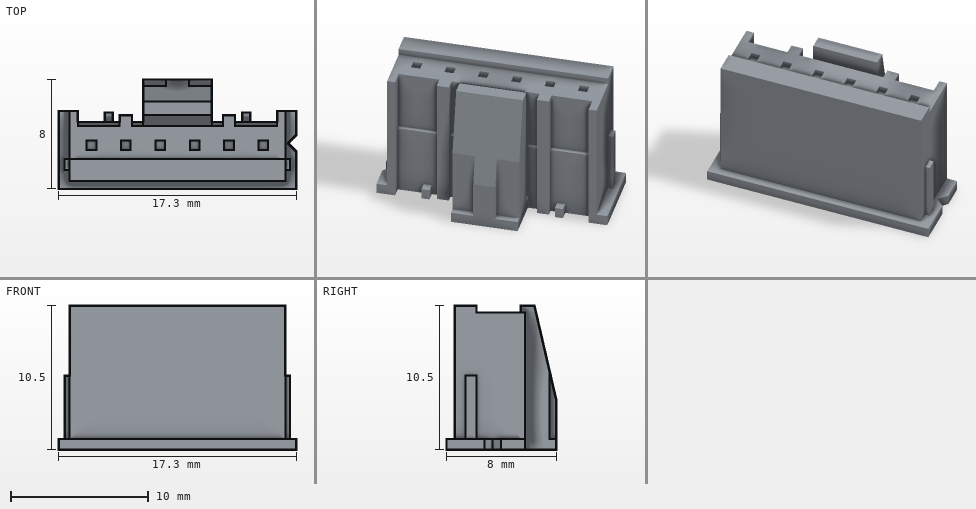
import cadquery as cq

flange_width = 17.3
flange_depth = 5.7
flange_height = 0.8
notch_depth = 0.6
notch_center_y = 3.35

side_overhang = 0.8
body_width = flange_width - 2 * side_overhang
body_front_y = 0.6
body_top_z = 10.0
front_wall_back_y = 2.2
overall_height = 10.5

recess_width = 14.5
recess_y = 4.6
ledge_y = 4.9
ledge_height = 5.4

tab_width = 0.9
tab_center_x = 3.75
tab_back_y = 5.4
foot_width = 0.6
foot_center_x = 5.0
foot_back_y = 5.6

rib_thickness = 0.35
rib_depth = 0.8
rib_top_z = 5.4

contact_count = 6
contact_pitch = 2.5
contact_size = 0.7
contact_center_y = 3.2
contact_depth = 0.5

latch_width = 5.0
latch_front_y = 5.4
latch_tip_y = 6.4
latch_back_y = 8.0
latch_slope_start_z = 3.6
latch_corner_depth = 0.5
latch_spine_width = 1.65


def block(x_min, x_max, y_min, y_max, z_min, z_max):
    """Axis-aligned box between two opposite corners."""
    size = (x_max - x_min, y_max - y_min, z_max - z_min)
    return cq.Workplane("XY").box(*size, centered=False).translate((x_min, y_min, z_min))


def centered_block(width, y_min, y_max, z_min, z_max, center_x=0.0):
    """Box of the given width, centred on center_x."""
    return block(center_x - width / 2, center_x + width / 2, y_min, y_max, z_min, z_max)


def make_housing():
    """Flange, body and raised front wall, with the back recess cut through the height."""
    flange = centered_block(flange_width, 0, flange_depth, 0, flange_height)
    body = centered_block(body_width, body_front_y, flange_depth, 0, body_top_z)
    front_wall = centered_block(body_width, body_front_y, front_wall_back_y, 0, overall_height)
    recess = centered_block(recess_width, recess_y, flange_depth, 0, body_top_z)
    ledge = centered_block(recess_width, recess_y, ledge_y, 0, ledge_height)
    slit = centered_block(latch_width, recess_y, latch_front_y, flange_height, body_top_z)
    return flange.union(body).union(front_wall).cut(recess).union(ledge).cut(slit)


def make_side_details(side):
    """Guide tab, short foot and side rib on one side (side is -1 or +1)."""
    tab = centered_block(tab_width, recess_y, tab_back_y, 0, body_top_z, side * tab_center_x)
    foot = centered_block(foot_width, recess_y, foot_back_y, 0, flange_height, side * foot_center_x)
    rib_center_x = side * (body_width + rib_thickness) / 2
    rib_front_y = front_wall_back_y - rib_depth
    rib = centered_block(rib_thickness, rib_front_y, front_wall_back_y, 0, rib_top_z, rib_center_x)
    return tab.union(foot).union(rib)


def make_latch():
    """Sloped latch arm on a low base that joins it to the housing, with both back corners relieved."""
    profile = [
        (recess_y, 0),
        (latch_back_y, 0),
        (latch_back_y, latch_slope_start_z),
        (latch_tip_y, overall_height),
        (latch_front_y, overall_height),
        (latch_front_y, flange_height),
        (recess_y, flange_height),
    ]
    latch = cq.Workplane("YZ").polyline(profile).close().extrude(latch_width / 2, both=True)
    corner_y = latch_back_y - latch_corner_depth
    corner_strip = centered_block(latch_width, corner_y, latch_back_y, flange_height, overall_height)
    spine = centered_block(latch_spine_width, corner_y, latch_back_y, flange_height, overall_height)
    return latch.cut(corner_strip.cut(spine))


def make_contact_openings():
    """Row of square blind openings in the top of the body."""
    return (
        cq.Workplane("XY", origin=(0, contact_center_y, body_top_z))
        .rarray(contact_pitch, 1, contact_count, 1)
        .rect(contact_size, contact_size)
        .extrude(-contact_depth)
    )


def make_flange_notch():
    """Right-angled V notch in the +X end of the flange."""
    edge_x = flange_width / 2
    corners = [
        (edge_x, notch_center_y - notch_depth),
        (edge_x - notch_depth, notch_center_y),
        (edge_x, notch_center_y + notch_depth),
    ]
    return cq.Workplane("XY").polyline(corners).close().extrude(flange_height)


result = make_housing().union(make_latch())
for side in (-1, 1):
    result = result.union(make_side_details(side))
result = result.cut(make_contact_openings()).cut(make_flange_notch())